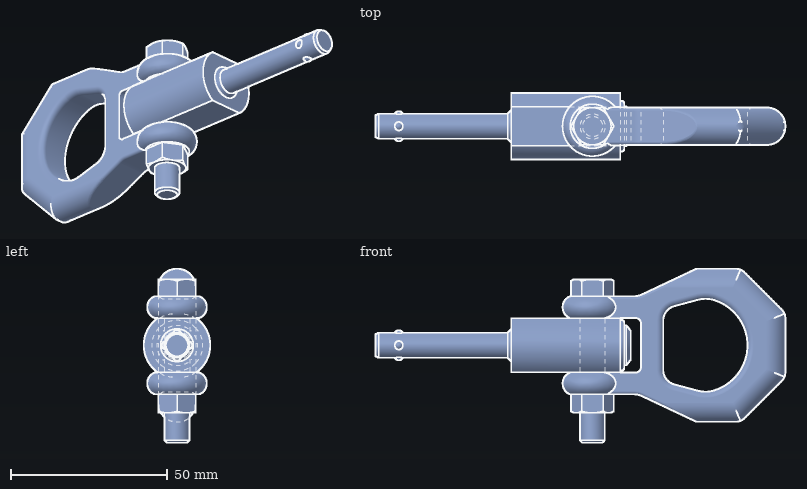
import cadquery as cq
import math


overall_length = 131.2

housing_diameter = 21.4
housing_half_height = 8.7
housing_left = -26.0
housing_right = 8.9
pin_tip = -69.4
pin_radius = 4.1
pin_chamfer = 1.0
pin_root_flare = 1.2
button_flange_radius = 8.1
button_flange_end = 10.2
button_flange_round = 0.9
button_radius = 6.4
button_end = 12.3
button_cone_length = 1.5
button_face_radius = 4.6
ball_x = -62.0
ball_radius = 1.5
ball_count = 4
ball_protrusion = 0.8

bolt_diameter = 8.0
bolt_radius = bolt_diameter / 2
bolt_tip = -31.2
bolt_chamfer = 0.8
hex_flats = 12.0
hex_corners = hex_flats / math.cos(math.radians(30))
head_height = 5.4
nut_height = 5.9
hex_bevel_height = 0.5
eye_radius = 9.6
eye_flat_radius = 7.1
eye_inner = housing_half_height
eye_outer = 15.8
eye_middle = (eye_inner + eye_outer) / 2

ring_thickness = 12.1
ring_round = ring_thickness / 2
ring_right = pin_tip + overall_length
ring_half_height = 24.5
ring_corner_z = 10.2
ring_corner_x = ring_right - (ring_half_height - ring_corner_z)
shoulder_x = 33.3
neck_x = 14.7
corner_radius = 4.0
neck_bend_radius = 5.2
arm_edge_round = 1.0
yoke_right = 15.5
yoke_corner_radius = 1.6
window_left = 22.7
window_center_x = 34.5
window_radius = 15.1
window_slope = math.radians(15)
window_slope_z = 11.5
window_left_round = 4.7
window_side_round = 9.5
window_edge_round = 2.0

selection_margin = 0.1


def between_x(low, high):
    """Selector for whatever is centred between two X positions."""
    far = 2 * ring_right
    return cq.selectors.BoxSelector(
        (low - selection_margin, -far, -far),
        (high + selection_margin, far, far),
    )


def revolve_about_x(profile):
    return profile.close().revolve(360, (0, 0, 0), (1, 0, 0))


def make_housing():
    length = housing_right - housing_left
    barrel = cq.Workplane("YZ", origin=(housing_left, 0, 0)).circle(housing_diameter / 2).extrude(length)
    flats = cq.Workplane("XY").box(4 * length, 2 * housing_diameter, 2 * housing_half_height)
    return barrel.intersect(flats)


def make_shank():
    profile = (
        cq.Workplane("XZ")
        .moveTo(pin_tip, 0)
        .lineTo(pin_tip, pin_radius - pin_chamfer / 2)
        .lineTo(pin_tip + pin_chamfer, pin_radius)
        .lineTo(housing_left - pin_root_flare, pin_radius)
        .lineTo(housing_left, pin_radius + pin_root_flare)
        .lineTo(housing_left, 0)
    )
    return revolve_about_x(profile)


def make_button():
    flange = cq.Workplane("YZ", origin=(housing_right, 0, 0)).circle(button_flange_radius)
    flange = flange.extrude(button_flange_end - housing_right).faces(">X").edges().fillet(button_flange_round)
    knob_profile = (
        cq.Workplane("XZ")
        .moveTo(housing_right, 0)
        .lineTo(housing_right, button_radius)
        .lineTo(button_end - button_cone_length, button_radius)
        .lineTo(button_end, button_face_radius)
        .lineTo(button_end, 0)
    )
    return flange.union(revolve_about_x(knob_profile))


def make_locking_balls():
    ball_offset = pin_radius + ball_protrusion - ball_radius
    ball = cq.Workplane("XY").sphere(ball_radius).translate((ball_x, 0, ball_offset))
    balls = ball
    for index in range(1, ball_count):
        balls = balls.union(ball.rotate((0, 0, 0), (1, 0, 0), index * 360 / ball_count))
    return balls


def make_lifting_pin():
    bolt_hole = cq.Workplane("XY").circle(bolt_radius).extrude(housing_half_height, both=True)
    pin = make_housing().union(make_shank()).union(make_button()).union(make_locking_balls())
    return pin.cut(bolt_hole)


def half_round_bar(outer_point, direction_degrees):
    """Long slab whose outer edge, facing the given direction, is a full half-round."""
    depth = 3 * ring_right
    bar = (
        cq.Workplane("XY")
        .moveTo(-depth, -ring_round)
        .lineTo(-ring_round, -ring_round)
        .threePointArc((0, 0), (-ring_round, ring_round))
        .lineTo(-depth, ring_round)
        .close()
        .extrude(depth, both=True)
    )
    outer_x, outer_z = outer_point
    bar = bar.rotate((0, 0, 0), (0, 1, 0), -direction_degrees)
    return bar.translate((outer_x, 0, outer_z))


def make_ring_blank():
    """Solid outline of ring, neck and arms, before the openings are cut."""
    outline = (
        cq.Workplane("XZ")
        .moveTo(0, eye_outer)
        .lineTo(neck_x, eye_outer)
        .lineTo(shoulder_x, ring_half_height)
        .lineTo(ring_corner_x, ring_half_height)
        .lineTo(ring_right, ring_corner_z)
        .lineTo(ring_right, -ring_corner_z)
        .lineTo(ring_corner_x, -ring_half_height)
        .lineTo(shoulder_x, -ring_half_height)
        .lineTo(neck_x, -eye_outer)
        .lineTo(0, -eye_outer)
        .close()
        .extrude(ring_round, both=True)
    )
    outline = outline.edges("|Y").edges(between_x(neck_x, neck_x)).fillet(neck_bend_radius)
    outline = outline.edges("|Y").edges(between_x(ring_corner_x, ring_right)).fillet(corner_radius)
    sides = (
        ((ring_corner_x, ring_half_height), 90),
        ((ring_corner_x, ring_half_height), 45),
        ((ring_right, 0), 0),
        ((ring_corner_x, -ring_half_height), -45),
        ((ring_corner_x, -ring_half_height), -90),
    )
    for outer_point, direction_degrees in sides:
        outline = outline.intersect(half_round_bar(outer_point, direction_degrees))
    return outline


def make_window():
    """Opening with a straight left side, sloping top and bottom, and a circular right side."""
    def wedge(length):
        end_height = window_slope_z + length * math.tan(window_slope)
        return (
            cq.Workplane("XZ")
            .moveTo(window_left, -window_slope_z)
            .lineTo(window_left, window_slope_z)
            .lineTo(window_left + length, end_height)
            .lineTo(window_left + length, -end_height)
            .close()
            .extrude(ring_thickness, both=True)
        )

    circle = cq.Workplane("XZ").center(window_center_x, 0).circle(window_radius)
    circle = circle.extrude(ring_thickness, both=True)
    window_right = window_center_x + window_radius
    window = circle.intersect(wedge(window_right - window_left)).union(wedge(window_center_x - window_left))
    window = window.edges("|Y and <X").fillet(window_left_round)
    side_corners = window.edges("|Y").edges(between_x(window_center_x, window_right))
    return side_corners.fillet(window_side_round)


def round_neck_edges(blank):
    """Round the long edges of the arms and neck up to where they run into the half-round."""
    neck_faces = blank.faces(between_x(neck_x / 2, shoulder_x)).faces("not |Y")
    return neck_faces.edges("not |Y").fillet(arm_edge_round)


def make_yoke_gap():
    gap = cq.Workplane("XY").box(2 * yoke_right, 2 * ring_thickness, 2 * eye_inner)
    return gap.edges("|Y and >X").fillet(yoke_corner_radius)


def make_ring():
    ring = round_neck_edges(make_ring_blank()).cut(make_window())
    rims = [wire for face in ring.faces("<Y or >Y").vals() for wire in face.innerWires()]
    rim_edges = [edge for rim in rims for edge in rim.Edges()]
    ring = ring.newObject(rim_edges).fillet(window_edge_round)
    return ring.cut(make_yoke_gap())


def make_eye():
    """Bulging disc around the upper end of the bolt."""
    return (
        cq.Workplane("XZ")
        .moveTo(0, eye_inner)
        .lineTo(eye_flat_radius, eye_inner)
        .threePointArc((eye_radius, eye_middle), (eye_flat_radius, eye_outer))
        .lineTo(0, eye_outer)
        .close()
        .revolve(360, (0, 0, 0), (0, 1, 0))
    )


def make_hex(height):
    """Hexagon standing above the upper eye, its outer corners beveled by a cone."""
    top = eye_outer + height
    prism = cq.Workplane("XY", origin=(0, 0, eye_outer)).polygon(6, hex_corners).extrude(height)
    cone = (
        cq.Workplane("XZ")
        .moveTo(0, eye_outer)
        .lineTo(hex_corners / 2, eye_outer)
        .lineTo(hex_corners / 2, top - hex_bevel_height)
        .lineTo(hex_flats / 2, top)
        .lineTo(0, top)
        .close()
        .revolve(360, (0, 0, 0), (0, 1, 0))
    )
    return prism.intersect(cone)


def make_bolt():
    shaft = cq.Workplane("XY", origin=(0, 0, bolt_tip)).circle(bolt_radius).extrude(eye_outer - bolt_tip)
    return shaft.faces("<Z").chamfer(bolt_chamfer)


def make_shackle():
    upper = make_eye().union(make_hex(head_height))
    lower = make_eye().union(make_hex(nut_height)).mirror("XY")
    return make_ring().union(upper).union(lower).union(make_bolt())


lifting_pin = make_lifting_pin()
shackle = make_shackle()

result = cq.Compound.makeCompound([lifting_pin.val(), shackle.val()])